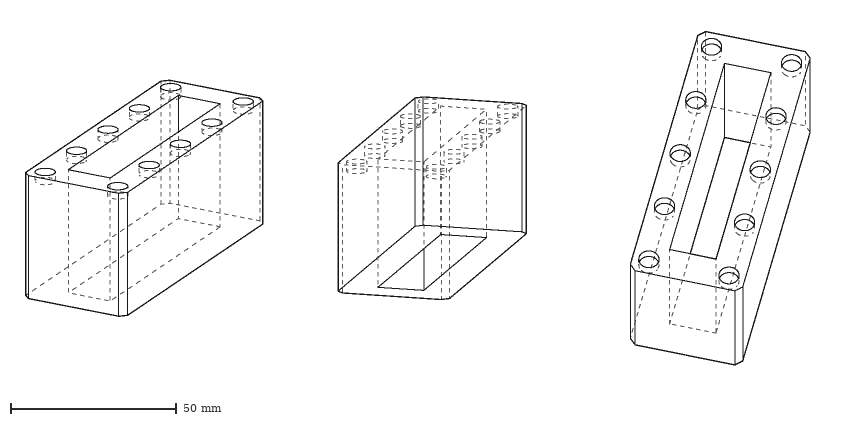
import cadquery as cq

width = 35.0
length = 90.0
height = 40.0
corner_chamfer = 2.0

opening_width = 14.4
opening_length = 70.0

pocket_diameter = 6.1
pocket_depth = 3.0
pockets_per_row = 5
row_count = 2
pocket_edge_distance = 5.0
row_spacing = width - 2 * pocket_edge_distance
pocket_pitch = (length - 2 * pocket_edge_distance) / (pockets_per_row - 1)

block = (
    cq.Workplane("XY")
    .box(width, length, height, centered=(True, True, False))
    .edges("|Z")
    .chamfer(corner_chamfer)
)

frame = block.cut(
    cq.Workplane("XY")
    .rect(opening_width, opening_length)
    .extrude(height)
)

pockets = (
    cq.Workplane("XY", origin=(0, 0, height - pocket_depth))
    .rarray(row_spacing, pocket_pitch, row_count, pockets_per_row)
    .circle(pocket_diameter / 2)
    .extrude(pocket_depth)
)

result = frame.cut(pockets)